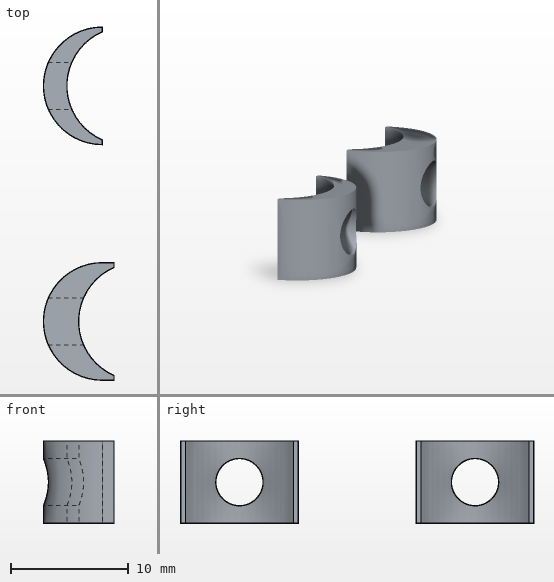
import cadquery as cq

overall_length = 30.0
height = 7.0
hole_diameter = 4.0
hollow_depth = 3.0
thick_saddle_web = 3.0

saddle_width = overall_length / 3
outer_radius = saddle_width / 2
hollow_radius = outer_radius
saddle_spacing = overall_length - saddle_width

thin_saddle_web = outer_radius - hollow_depth


def crescent_blank(depth):
    """Upright half-round block with its rounded back at X = 0 and its tips at X = depth."""
    round_back = cq.Workplane("XY").center(outer_radius, 0).circle(outer_radius).extrude(height)
    straight_sides = (
        cq.Workplane("XY")
        .box(outer_radius, saddle_width, height, centered=(False, True, False))
        .translate((outer_radius, 0, 0))
    )
    envelope = cq.Workplane("XY").box(depth, saddle_width, height, centered=(False, True, False))
    return round_back.union(straight_sides).intersect(envelope)


def hollow(web):
    """Cylinder that scoops out the front, leaving the web at the middle."""
    return cq.Workplane("XY").center(web + hollow_radius, 0).circle(hollow_radius).extrude(height)


def cross_hole(depth):
    """Round hole through the web along X, at mid height."""
    return cq.Workplane("YZ").center(0, height / 2).circle(hole_diameter / 2).extrude(depth)


def saddle(web, center_y):
    """One crescent saddle with a cross hole."""
    depth = web + hollow_depth
    body = crescent_blank(depth).cut(hollow(web)).cut(cross_hole(depth))
    return body.translate((0, center_y, 0))


thick_saddle = saddle(thick_saddle_web, -saddle_spacing / 2)
thin_saddle = saddle(thin_saddle_web, saddle_spacing / 2)

result = cq.Compound.makeCompound([thick_saddle.solids().val(), thin_saddle.solids().val()])